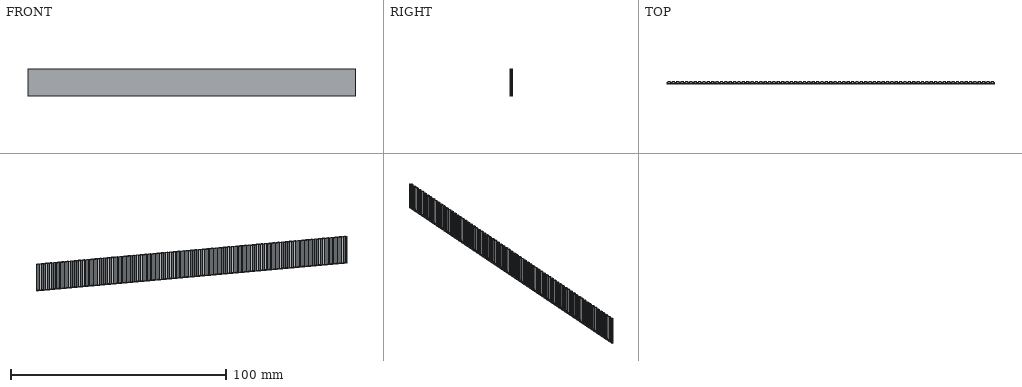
import cadquery as cq

LENGTH = 152.4
WIDTH = 12.6
THICKNESS = 1.15
TOOTH_COUNT = 75
TOOTH_HEIGHT = 0.52
TOOTH_ROOT = 1.25
TOOTH_TIP = 0.88

pitch = LENGTH / TOOTH_COUNT
back_face = -THICKNESS / 2
tip_face = THICKNESS / 2
root_face = tip_face - TOOTH_HEIGHT


def tooth_points(center):
    """Corners of one tooth, from its left root to its right root."""
    return [
        (center - TOOTH_ROOT / 2, root_face),
        (center - TOOTH_TIP / 2, tip_face),
        (center + TOOTH_TIP / 2, tip_face),
        (center + TOOTH_ROOT / 2, root_face),
    ]


outline = [(-LENGTH / 2, back_face), (-LENGTH / 2, root_face)]
for index in range(TOOTH_COUNT):
    outline += tooth_points(-LENGTH / 2 + (index + 0.5) * pitch)
outline += [(LENGTH / 2, root_face), (LENGTH / 2, back_face)]

result = (
    cq.Workplane("XY")
    .workplane(offset=-WIDTH / 2)
    .polyline(outline)
    .close()
    .extrude(WIDTH)
)